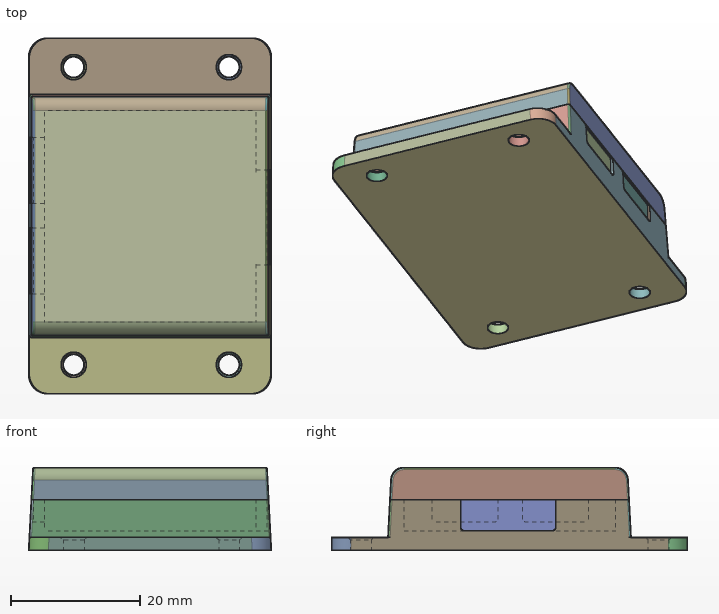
import cadquery as cq
import math

box_width = 37.52
box_length = 37.8
draft_angle = 3.0
box_height = 12.8
split_height = 7.8
flange_length = 55.0
flange_thickness = 2.0
flange_corner_radius = 3.0
shoulder_radius = 2.0
end_edge_radius = 0.3

hole_spacing_x = 24.0
hole_spacing_y = 46.0
hole_pattern_shift_x = 0.2
hole_diameter = 3.2
hole_mouth_diameter = 3.9

port_floor = 4.4
header_floor = 3.0
opening_corner_radius = 0.6
port_width = 10.2
port_spacing = 14.0
port_pair_shift_y = 0.08
header_width = 14.7
header_shift_y = -0.2

face_setback = 0.3
wall_thickness = 2.0

lean = math.tan(math.radians(draft_angle))
half_width_at_joint = box_width / 2 - split_height * lean
face_x = half_width_at_joint - face_setback
module_size = 2 * (half_width_at_joint - wall_thickness)
port_centers_y = [port_pair_shift_y + side * port_spacing / 2 for side in (-1, 1)]


def slab(bottom, top):
    """Oversized block covering the heights from bottom to top."""
    return (
        cq.Workplane("XY", origin=(0, 0, bottom))
        .rect(2 * flange_length, 2 * flange_length)
        .extrude(top - bottom)
    )


def tapered_box():
    """Complete outside shape of the closed box, base and lid together."""
    box = cq.Workplane("XY").rect(box_width, box_length).extrude(box_height, taper=draft_angle)
    box = box.faces(">Z").edges("|X").fillet(shoulder_radius)
    end_outlines = box.faces("<X or >X").edges("not <Z")
    return end_outlines.fillet(end_edge_radius)


def flange():
    """Mounting plate whose long sides lean with the box walls and whose ends are upright."""
    half_bottom = box_width / 2
    half_top = half_bottom - flange_thickness * lean
    profile = [
        (-half_bottom, 0),
        (half_bottom, 0),
        (half_top, flange_thickness),
        (-half_top, flange_thickness),
    ]
    plate = cq.Workplane("XZ").polyline(profile).close().extrude(flange_length / 2, both=True)
    corners = plate.faces("<Y or >Y").edges("not |X")
    return corners.fillet(flange_corner_radius)


def mounting_holes():
    """Through holes with a conical mouth at the upper surface."""
    mouth_depth = (hole_mouth_diameter - hole_diameter) / 2
    profile = [
        (0, 0),
        (hole_diameter / 2, 0),
        (hole_diameter / 2, flange_thickness - mouth_depth),
        (hole_mouth_diameter / 2, flange_thickness),
        (0, flange_thickness),
    ]
    hole = cq.Workplane("XZ").polyline(profile).close().revolve(360, (0, 0, 0), (0, 1, 0)).val()
    return (
        cq.Workplane("XY", origin=(hole_pattern_shift_x, 0, 0))
        .rect(hole_spacing_x, hole_spacing_y, forConstruction=True)
        .vertices()
        .eachpoint(lambda place: hole.located(place))
    )


def opening_block(width, center_y, floor, end_x):
    """Block with rounded lower edges reaching from the box middle to end_x."""
    block = cq.Workplane("XY").box(
        abs(end_x), width, split_height - floor, centered=(False, True, False)
    )
    block = block.edges("|X and <Z").fillet(opening_corner_radius)
    start_x = min(end_x, 0)
    return block.translate((start_x, center_y, floor))


def opening_blocks(reach):
    """Two port blocks toward -X and one header block toward +X."""
    blocks = opening_block(header_width, header_shift_y, header_floor, reach)
    for center_y in port_centers_y:
        blocks = blocks.union(opening_block(port_width, center_y, port_floor, -reach))
    return blocks


def module_core():
    """Main block of the circuit module between the base walls."""
    return (
        cq.Workplane("XY", origin=(0, 0, header_floor))
        .rect(module_size, module_size)
        .extrude(split_height - header_floor)
    )


outside = tapered_box()

base = outside.intersect(slab(0, split_height)).union(flange()).cut(mounting_holes())
base = base.cut(module_core()).cut(opening_blocks(box_width))

lid = outside.intersect(slab(split_height, box_height))

module = module_core().union(opening_blocks(face_x))

bodies = [base, lid, module]
result = cq.Compound.makeCompound([body.solids().val() for body in bodies])